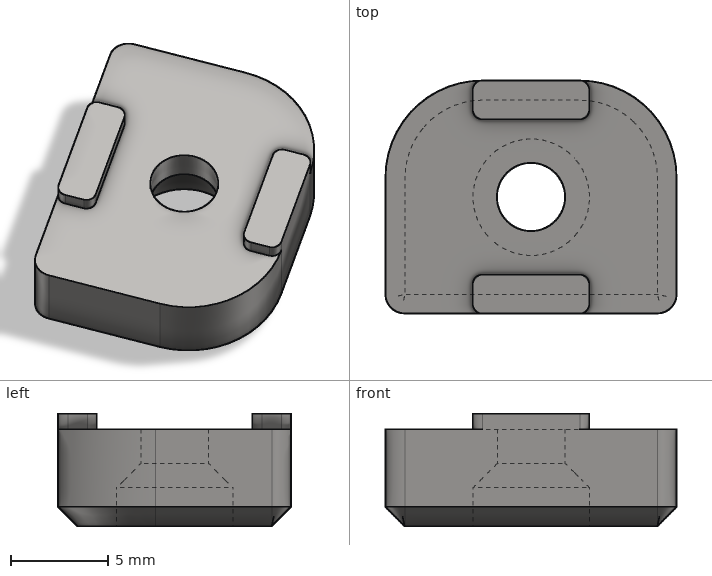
import cadquery as cq

body_width = 15.0
body_depth = 12.0
body_height = 5.0
back_corner_radius = 5.0
front_corner_radius = 1.0
bottom_chamfer = 1.0
chamfer_angle = 45.0

tab_width = 6.0
tab_depth = 2.0
tab_height = 0.8
tab_corner_radius = 0.5

hole_diameter = 3.5
head_diameter = 6.0
head_recess_depth = 2.0
cone_height = (head_diameter - hole_diameter) / 2


def make_body():
    """Straight-sided block above a 45 degree chamfer that runs to a point at the front corners."""
    outline = (
        cq.Sketch()
        .rect(body_width, body_depth)
        .vertices(">Y")
        .fillet(back_corner_radius)
        .reset()
        .vertices("<Y")
        .fillet(front_corner_radius)
    )
    chamfer_top = cq.Workplane("XY", origin=(0, 0, bottom_chamfer)).placeSketch(outline)
    block = chamfer_top.extrude(body_height - bottom_chamfer)
    chamfered_base = chamfer_top.extrude(-bottom_chamfer, taper=chamfer_angle)
    return block.union(chamfered_base)


def make_tabs():
    """Two rounded tabs standing on the top face, mirrored about the XZ plane."""
    tab_center_y = (body_depth - tab_depth) / 2
    return (
        cq.Workplane("XY", origin=(0, 0, body_height))
        .pushPoints([(0, -tab_center_y), (0, tab_center_y)])
        .rect(tab_width, tab_depth)
        .extrude(tab_height)
        .edges("|Z")
        .fillet(tab_corner_radius)
    )


def make_screw_hole():
    """Solid of revolution: head recess, 45 degree cone, then the shank hole."""
    head_radius = head_diameter / 2
    hole_radius = hole_diameter / 2
    return (
        cq.Workplane("XZ")
        .moveTo(0, 0)
        .lineTo(head_radius, 0)
        .lineTo(head_radius, head_recess_depth)
        .lineTo(hole_radius, head_recess_depth + cone_height)
        .lineTo(hole_radius, body_height)
        .lineTo(0, body_height)
        .close()
        .revolve(360, (0, 0, 0), (0, 1, 0))
    )


result = make_body().union(make_tabs()).cut(make_screw_hole())